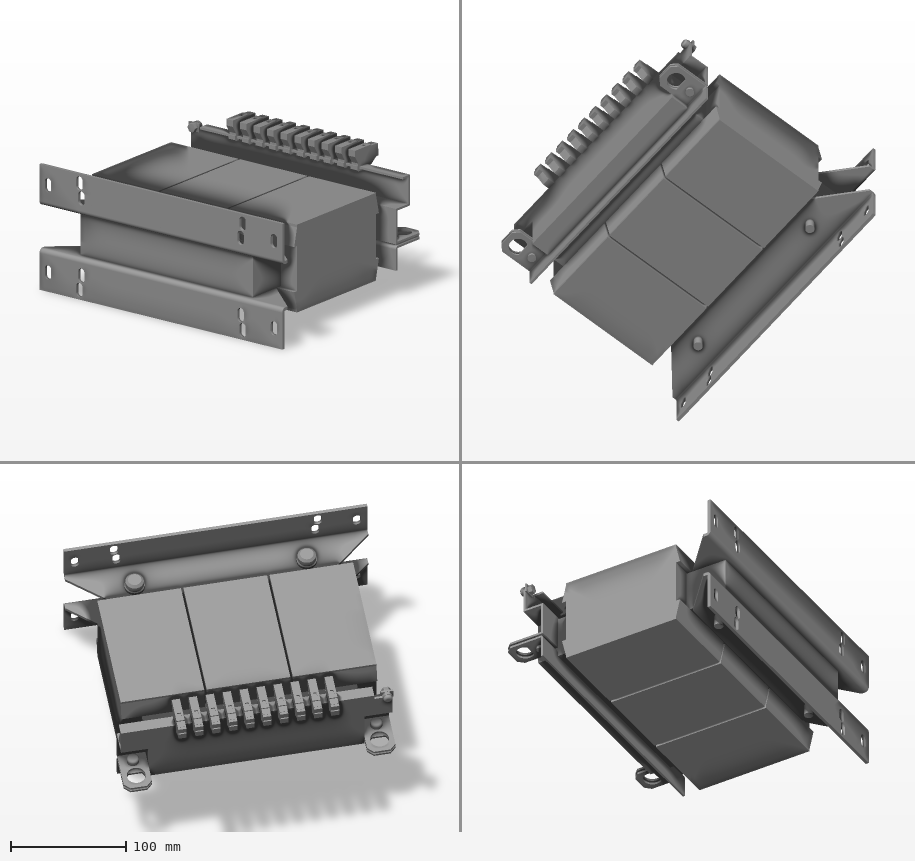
import cadquery as cq


LENGTH = 267.0
MOUNT_HALF_HEIGHT = 57.5
TERMINAL_TOP = 64.0

CORE_WIDTH = 189.5
CORE_HEIGHT = 39.5
CORE_TOP = CORE_HEIGHT / 2
CORE_FRONT = 8.0
CORE_REAR = 197.0
COIL_FRONT = 47.3
COIL_REAR = 158.3

COIL_COUNT = 3
COIL_PITCH = 75.8
COIL_WIDTH = 73.7
COIL_TOP = 40.0
COIL_FLARE = 4.0
COIL_FLARE_BOTTOM = 20.5
COIL_SHOULDER = 37.6

ANGLE_THICKNESS = 3.0
ANGLE_BEND = 4.0
ANGLE_DEPTH = 40.9
SHOULDER_DEPTH = 7.2
SLOT_WIDTH = 7.0
SLOT_LENGTH = 12.8
SLOT_PLACES = [(124.2, 39.8), (89.7, 48.5), (87.5, 35.2)]

BOLT_X = 75.8
BOLT_Y = 26.2
STUD_DIAMETER = 8.0
STUD_BOTTOM = -32.8
WASHER_DIAMETER = 17.5
WASHER_THICKNESS = 2.7
SPRING_DIAMETER = 15.0
SPRING_THICKNESS = 1.3
HEAD_DIAMETER = 16.0
HEAD_HEIGHT = 6.7
HEAD_CHAMFER = 2.1

SHEET = 2.0
BRACKET_LENGTH = 239.2
WEB_FRONT = 177.3
UPPER_TAB_BOTTOM = -10.7
LOWER_TAB_TOP = -12.5
LOWER_WEB_BOTTOM = -34.7
LOWER_BEND = 3.0
RAIL_TOP = 48.0
RAIL_DEPTH = 10.0
RAIL_NOTCH = 16.0
NOTCH_FLOOR = 43.3

TAB_REAR = 215.5
TAB_WIDTH = (BRACKET_LENGTH - CORE_WIDTH) / 2
TAB_X = (BRACKET_LENGTH - TAB_WIDTH) / 2
TAB_CORNER = 5.0
TAB_HOLE_DIAMETER = 16.3
TAB_HOLE_Y = 202.7
TAB_SCREW_Y = 187.2
TAB_SCREW_DIAMETER = 5.3
TAB_HEAD_DIAMETER = 10.7
TAB_HEAD_HEIGHT = 5.0
TAB_HEAD_ROUND = 2.0
TAB_NUT_DIAMETER = 7.5
TAB_NUT_HEIGHT = 2.7

TERMINAL_COUNT = 10
TERMINAL_PITCH = 15.0
TERMINAL_WIDTH = 7.2
TERMINAL_ROW_X = 1.0
TERMINAL_FRONT = 181.0
TERMINAL_REAR = 214.0
WINDOW_WIDTH = 3.2
WINDOW_LENGTH = 4.0
WINDOW_Y = 197.8
WINDOW_DEPTH = 1.3

EARTH_X = -115.0
EARTH_Z = 44.3
EARTH_NUT_CORNERS = 8.5
EARTH_NUT_FRONT = 189.5
EARTH_PLATE_WIDTH = 11.2
EARTH_PLATE_HEIGHT = 8.0
EARTH_PLATE_FRONT = 193.3
EARTH_WASHER_DIAMETER = 8.5
EARTH_WASHER_REAR = 198.5
EARTH_CAP_DIAMETER = 7.7
EARTH_CAP_REAR = 201.5
EARTH_CAP_ROUND = 2.0


def block(x_range, y_range, z_range):
    """Box between the given limits on each axis."""
    (x0, x1), (y0, y1), (z0, z1) = x_range, y_range, z_range
    return cq.Workplane("XY").box(x1 - x0, y1 - y0, z1 - z0, centered=False).translate((x0, y0, z0))


def extrude_along_x(points, length, x_center=0):
    """Prism along X from a (y, z) outline."""
    prism = cq.Workplane("YZ").polyline(points).close().extrude(length / 2, both=True)
    return prism.translate((x_center, 0, 0))


def disc(x, y, z_bottom, diameter, height):
    """Upright cylinder."""
    return cq.Workplane("XY", origin=(x, y, z_bottom)).circle(diameter / 2).extrude(height)


def make_yokes():
    """Front and rear bars of the core, reaching inward to the coils."""
    half = CORE_WIDTH / 2
    z_range = (-CORE_TOP, CORE_TOP)
    front = block((-half, half), (CORE_FRONT, COIL_FRONT), z_range)
    rear = block((-half, half), (COIL_REAR, CORE_REAR), z_range)
    return front.union(rear)


def make_coil(x_center):
    """Coil whose ends flare out over the yokes above and below the core."""
    upper_half = [
        (COIL_FRONT, 0),
        (COIL_FRONT, COIL_FLARE_BOTTOM),
        (COIL_FRONT - COIL_FLARE, COIL_FLARE_BOTTOM),
        (COIL_FRONT, COIL_SHOULDER),
        (COIL_FRONT, COIL_TOP),
        (COIL_REAR, COIL_TOP),
        (COIL_REAR, COIL_SHOULDER),
        (COIL_REAR + COIL_FLARE, COIL_FLARE_BOTTOM),
        (COIL_REAR, COIL_FLARE_BOTTOM),
        (COIL_REAR, 0),
    ]
    upper = extrude_along_x(upper_half, COIL_WIDTH, x_center)
    return upper.union(upper.mirror("XY"))


def make_upper_angle():
    """Mounting angle on top of the front yoke, with a tapered foot and slotted face."""
    foot_top = CORE_TOP + ANGLE_THICKNESS
    profile = [
        (0, CORE_TOP),
        (ANGLE_DEPTH, CORE_TOP),
        (ANGLE_DEPTH, foot_top),
        (ANGLE_THICKNESS, foot_top),
        (ANGLE_THICKNESS, MOUNT_HALF_HEIGHT),
        (0, MOUNT_HALF_HEIGHT),
    ]
    angle = extrude_along_x(profile, LENGTH)
    angle = angle.edges("|X").edges("<Y and <Z").fillet(ANGLE_BEND)
    inner_bend = cq.selectors.NearestToPointSelector((0, ANGLE_THICKNESS, foot_top))
    angle = angle.edges(inner_bend).fillet(ANGLE_BEND - ANGLE_THICKNESS)

    plan = [
        (-LENGTH / 2, 0),
        (LENGTH / 2, 0),
        (LENGTH / 2, SHOULDER_DEPTH),
        (CORE_WIDTH / 2, ANGLE_DEPTH),
        (-CORE_WIDTH / 2, ANGLE_DEPTH),
        (-LENGTH / 2, SHOULDER_DEPTH),
    ]
    angle = angle.intersect(cq.Workplane("XY").polyline(plan).close().extrude(MOUNT_HALF_HEIGHT))

    places = [(side * x, z) for side in (-1, 1) for x, z in SLOT_PLACES]
    slots = cq.Workplane("XZ").pushPoints(places).slot2D(SLOT_LENGTH, SLOT_WIDTH, 90)
    return angle.cut(slots.extrude(ANGLE_THICKNESS, both=True))


def make_bolt(x):
    """Clamping bolt through both angles, with a flat and a spring washer under its head."""
    washer_bottom = CORE_TOP + ANGLE_THICKNESS
    spring_bottom = washer_bottom + WASHER_THICKNESS
    head_bottom = spring_bottom + SPRING_THICKNESS
    stud = disc(x, BOLT_Y, STUD_BOTTOM, STUD_DIAMETER, head_bottom - STUD_BOTTOM)
    washer = disc(x, BOLT_Y, washer_bottom, WASHER_DIAMETER, WASHER_THICKNESS)
    spring = disc(x, BOLT_Y, spring_bottom, SPRING_DIAMETER, SPRING_THICKNESS)
    head = disc(x, BOLT_Y, head_bottom, HEAD_DIAMETER, HEAD_HEIGHT)
    head = head.faces(">Z").chamfer(HEAD_CHAMFER)
    return stud.union(washer).union(spring).union(head)


def make_rail_bracket():
    """Folded sheet: web, shelf over the core, and an upright rail with a forward lip."""
    web_rear = WEB_FRONT + SHEET
    rail_front = CORE_REAR - SHEET
    shelf_top = CORE_TOP + SHEET
    lip_bottom = RAIL_TOP - SHEET
    lip_front = CORE_REAR - RAIL_DEPTH
    profile = [
        (WEB_FRONT, UPPER_TAB_BOTTOM),
        (web_rear, UPPER_TAB_BOTTOM),
        (web_rear, CORE_TOP),
        (CORE_REAR, CORE_TOP),
        (CORE_REAR, RAIL_TOP),
        (lip_front, RAIL_TOP),
        (lip_front, lip_bottom),
        (rail_front, lip_bottom),
        (rail_front, shelf_top),
        (WEB_FRONT, shelf_top),
    ]
    bracket = extrude_along_x(profile, BRACKET_LENGTH)
    left_end = -BRACKET_LENGTH / 2
    notch = block((left_end, left_end + RAIL_NOTCH), (lip_front, CORE_REAR), (NOTCH_FLOOR, RAIL_TOP))
    return bracket.cut(notch)


def make_lower_bracket():
    """Angle below the rail bracket: a shelf inside the core and a web bent down from it."""
    web_rear = WEB_FRONT + SHEET
    shelf_bottom = LOWER_TAB_TOP - SHEET
    profile = [
        (WEB_FRONT, LOWER_WEB_BOTTOM),
        (web_rear, LOWER_WEB_BOTTOM),
        (web_rear, shelf_bottom),
        (CORE_REAR, shelf_bottom),
        (CORE_REAR, LOWER_TAB_TOP),
        (WEB_FRONT, LOWER_TAB_TOP),
    ]
    bracket = extrude_along_x(profile, BRACKET_LENGTH)
    bracket = bracket.edges("|X").edges("<Y and >Z").fillet(LOWER_BEND)
    inner_bend = cq.selectors.NearestToPointSelector((0, web_rear, shelf_bottom))
    return bracket.edges(inner_bend).fillet(LOWER_BEND - SHEET)


def make_tab(x, y_front, z_bottom):
    """Lifting tab with cut corners and an eye."""
    x_range = (x - TAB_WIDTH / 2, x + TAB_WIDTH / 2)
    tab = block(x_range, (y_front, TAB_REAR), (z_bottom, z_bottom + SHEET))
    tab = tab.edges("|Z and >Y").chamfer(TAB_CORNER)
    return tab.cut(disc(x, TAB_HOLE_Y, z_bottom, TAB_HOLE_DIAMETER, SHEET))


def make_tab_pair(x):
    """Upper and lower tabs at one end, held together by a screw."""
    upper = make_tab(x, WEB_FRONT, UPPER_TAB_BOTTOM)
    lower = make_tab(x, WEB_FRONT + LOWER_BEND, LOWER_TAB_TOP - SHEET)
    head_bottom = UPPER_TAB_BOTTOM + SHEET
    nut_bottom = LOWER_TAB_TOP - SHEET - TAB_NUT_HEIGHT
    head = disc(x, TAB_SCREW_Y, head_bottom, TAB_HEAD_DIAMETER, TAB_HEAD_HEIGHT)
    head = head.faces(">Z").edges().fillet(TAB_HEAD_ROUND)
    shank = disc(x, TAB_SCREW_Y, nut_bottom, TAB_SCREW_DIAMETER, head_bottom - nut_bottom)
    nut = disc(x, TAB_SCREW_Y, nut_bottom, TAB_NUT_DIAMETER, TAB_NUT_HEIGHT)
    return upper.union(lower).union(head).union(shank).union(nut)


def make_terminal(x):
    """Terminal block that hooks over the rail lip, with a small window in its top."""
    outline = [
        (TERMINAL_FRONT, TERMINAL_TOP),
        (204.3, TERMINAL_TOP),
        (204.3, 63.0),
        (210.5, 63.0),
        (210.5, 62.7),
        (212.8, 62.7),
        (212.8, 57.5),
        (TERMINAL_REAR, 57.5),
        (TERMINAL_REAR, 51.3),
        (210.5, 51.3),
        (203.7, 46.0),
        (CORE_REAR, 46.0),
        (CORE_REAR, RAIL_TOP),
        (CORE_REAR - RAIL_DEPTH, RAIL_TOP),
        (CORE_REAR - RAIL_DEPTH, RAIL_TOP - SHEET),
        (189.5, RAIL_TOP - SHEET),
        (189.5, 44.0),
        (185.3, 44.0),
        (184.0, 45.5),
        (184.0, 49.0),
        (185.3, 49.0),
        (185.3, 51.3),
        (TERMINAL_FRONT, 58.2),
    ]
    body = extrude_along_x(outline, TERMINAL_WIDTH, x)
    window = cq.Workplane("XY", origin=(x, WINDOW_Y, TERMINAL_TOP - WINDOW_DEPTH))
    return body.cut(window.rect(WINDOW_WIDTH, WINDOW_LENGTH).extrude(WINDOW_DEPTH))


def earth_plane(y):
    """Workplane facing -Y on the axis of the earth screw."""
    return cq.Workplane("XZ", origin=(EARTH_X, y, EARTH_Z))


def make_earth_screw():
    """Rail screw with a clamp plate and hex nut in front, and a washer and round cap behind."""
    nut = earth_plane(CORE_REAR).polygon(6, EARTH_NUT_CORNERS).extrude(CORE_REAR - EARTH_NUT_FRONT)
    plate = earth_plane(CORE_REAR - SHEET).rect(EARTH_PLATE_WIDTH, EARTH_PLATE_HEIGHT)
    plate = plate.extrude(CORE_REAR - SHEET - EARTH_PLATE_FRONT)
    washer = earth_plane(EARTH_WASHER_REAR).circle(EARTH_WASHER_DIAMETER / 2)
    washer = washer.extrude(EARTH_WASHER_REAR - CORE_REAR)
    cap = earth_plane(EARTH_CAP_REAR).circle(EARTH_CAP_DIAMETER / 2)
    cap = cap.extrude(EARTH_CAP_REAR - EARTH_WASHER_REAR)
    cap = cap.faces(">Y").edges().fillet(EARTH_CAP_ROUND)
    return nut.union(plate).union(washer).union(cap)


result = make_yokes()
for index in range(COIL_COUNT):
    result = result.union(make_coil((index - (COIL_COUNT - 1) / 2) * COIL_PITCH))

upper_angle = make_upper_angle()
result = result.union(upper_angle).union(upper_angle.mirror("XY"))
for side in (-1, 1):
    result = result.union(make_bolt(side * BOLT_X))

result = result.union(make_rail_bracket()).union(make_lower_bracket())
for side in (-1, 1):
    result = result.union(make_tab_pair(side * TAB_X))

for index in range(TERMINAL_COUNT):
    offset = (index - (TERMINAL_COUNT - 1) / 2) * TERMINAL_PITCH
    result = result.union(make_terminal(TERMINAL_ROW_X + offset))
result = result.union(make_earth_screw())